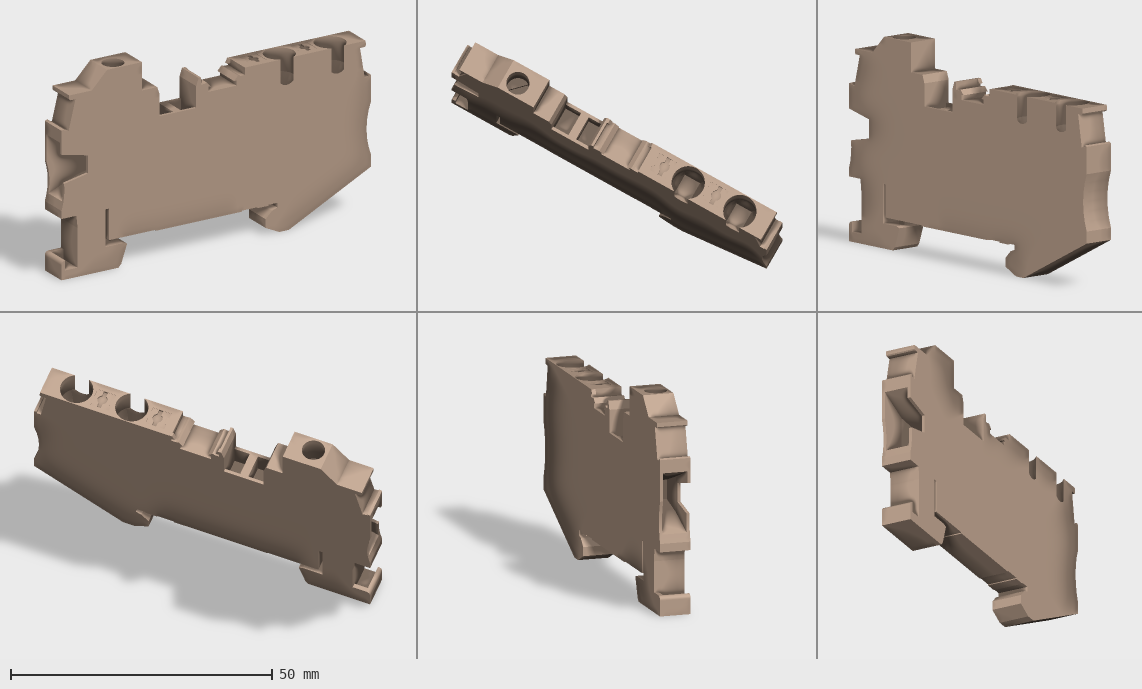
import cadquery as cq
import math

thickness = 6.2
length = 69.3
height = 41.2

deck_z = 35.4
ledge_z = 37.7
rail_seat_z = 6.1
rail_pad_drop = 0.2

tower_back_y = 18.0
tower_front_y = 10.2
tower_foot_y = 6.8
ledge_front_y = 1.7
ledge_thickness = 1.05
ledge_chamfer = 0.2

front_notch_top_y = 3.1
front_notch_bottom_y = 1.6
front_notch_z = 30.4
front_shoulder_z = 30.8

deck_rear_y = 68.05
deck_lip_y = 68.1
deck_lip_chamfer_z = 34.45
rear_notch_top_y = 66.8
rear_notch_top_z = 34.15
rear_notch_bottom_y = 67.85
rear_notch_bottom_z = 27.85
rear_shoulder_z = 28.15

rim_width = 0.55
rim_rise = 0.2

front_hollow = {"top": 22.6, "bottom": 14.3, "depth": 0.66}
rear_hollow = {"top": 22.8, "bottom": 11.65, "depth": 1.05}

recess_top_z = 12.6
recess_top_y = 3.3
recess_back_y = 3.6
recess_taper_z = 10.05
foot_top_z = 3.95
foot_round = 0.8
foot_pocket_x = 0.9
foot_pocket_depth = 2.1
foot_back_y = 12.75
foot_bevel = (13.4, 0.7)
foot_tip = (14.7, 4.6)
foot_tip_top_y = 13.85
foot_grip_z = 4.85
slit_front_y = 9.85
slit_back_y = 10.7
slit_chamfer = 0.2
web_front_y = 12.2
web_back_y = 13.8
web_width = 2.1

rail_pads = [(21.15, 40.4), (43.9, 46.3)]

hook_throat_y = 48.3
hook_lip_z = 5.1
hook_shoulder = (47.1, 4.7)
hook_tip_y = 45.7
hook_tip_top_z = 3.25
hook_tip_bottom_z = 1.45
hook_bottom_front_y = 48.7
hook_bottom_back_y = 50.9
rear_corner_z = 9.3

label_front_y = 31.2
label_back_y = 41.0
label_step_z = 33.9
label_floor_z = 32.1
label_floor_front_y = 32.85
label_floor_back_y = 39.15
label_edge_z = 33.1
label_nose = 0.55
label_bevel_run = 0.9
label_bevel_z = 34.1
label_rise = 0.55
tab_width = 0.8
tab_bottom_z = 34.5
tab_top_reach = 0.2
tab_reach = 0.7

bridge_front_y = 22.0
bridge_back_y = 30.15
bridge_floor_z = 29.3
bridge_flare = 0.55
bridge_flare_z = 33.8
bridge_pockets = [(bridge_front_y, 25.35), (27.0, bridge_back_y)]
bridge_pocket_depth = 4.15

wall_left_x = 0.6
wall_right_x = 5.55

screw_x = 3.5
screw_y = 13.1
screw_radius = 2.2
screw_depth = 6.25
screw_slot_width = 0.75
screw_slot_depth = 0.7
screw_slot_angle = -45

entry_pitch = 11.35
entry_x = 3.3
entry_y = 61.8
entry_radius = 3.2
entry_straight = 4.85
entry_taper = 2.8
entry_floor_x = (1.05, 4.9)
entry_floor_y = (59.8, 63.1)
button_size = 3.8
button_x = 2.9
button_y = 56.1
button_sink = 0.1
button_key_width = 1.5
button_key_depth = 0.4
button_slot_y = 56.35
button_slot_width = 0.8
button_eye_radius = 1.0
button_slot_depth = 0.35

mouth_z = (15.8, 28.15)
socket_x = (1.9, 5.1)
socket_z = (20.25, 24.05)
mouth_depth = 6.9
funnel_depth = 4.15
taper_share = mouth_depth / (mouth_depth + funnel_depth)
throat_z = tuple(outer + taper_share * (inner - outer) for outer, inner in zip(mouth_z, socket_z))
window_outer_z = (19.6, 25.85)
window_inner_z = (20.8, 24.5)
window_depth = 5.9


def box(x_range, y_range, z_range):
    """Axis-aligned box between pairs of limits."""
    sizes = [high - low for low, high in (x_range, y_range, z_range)]
    corner = (x_range[0], y_range[0], z_range[0])
    return cq.Workplane("XY").box(*sizes, centered=False).translate(corner)


def side_prism(points, x_start, x_end):
    """Closed outline in the YZ plane, extruded along X."""
    sketch = cq.Workplane("YZ", origin=(x_start, 0, 0)).polyline(points).close()
    return sketch.extrude(x_end - x_start)


def body():
    """Full-width housing, outlined once around in the YZ plane."""
    ledge_bottom_z = ledge_z - ledge_thickness
    tower_and_front = [
        (tower_back_y, deck_z),
        (tower_back_y, height),
        (tower_front_y, height),
        (tower_foot_y, ledge_z),
        (ledge_front_y, ledge_z),
        (ledge_front_y, ledge_bottom_z + ledge_chamfer),
        (ledge_front_y + ledge_chamfer, ledge_bottom_z),
        (front_notch_top_y, ledge_bottom_z),
        (front_notch_bottom_y, front_notch_z),
        (rim_width, front_notch_z + rim_rise),
        (rim_width, front_shoulder_z + rim_rise),
        (0, front_shoulder_z),
        (0, front_hollow["top"]),
    ]
    front_foot = [
        (0, recess_top_z),
        (recess_top_y, recess_top_z),
        (recess_back_y, recess_taper_z),
        (recess_back_y, foot_top_z),
        (foot_round, foot_top_z),
    ]
    underside = [
        (0, 0),
        (foot_back_y, 0),
        foot_bevel,
        foot_tip,
        (foot_tip_top_y, foot_grip_z),
        (slit_front_y, foot_grip_z),
        (slit_front_y, recess_top_z),
        (slit_back_y - slit_chamfer, recess_top_z),
        (slit_back_y, recess_top_z - slit_chamfer),
        (slit_back_y, rail_seat_z),
        (hook_throat_y, rail_seat_z),
        (hook_throat_y, hook_lip_z),
        hook_shoulder,
        (hook_tip_y, hook_tip_top_z),
        (hook_tip_y, hook_tip_bottom_z),
        (hook_bottom_front_y, 0),
        (hook_bottom_back_y, 0),
        (length, rear_corner_z),
        (length, rear_hollow["bottom"]),
    ]
    rear_and_deck = [
        (length, rear_shoulder_z),
        (length - rim_width, rear_shoulder_z + rim_rise),
        (length - rim_width, rear_notch_bottom_z),
        (rear_notch_bottom_y, rear_notch_bottom_z),
        (rear_notch_top_y, rear_notch_top_z),
        (deck_lip_y - ledge_chamfer, rear_notch_top_z),
        (deck_lip_y, deck_lip_chamfer_z),
        (deck_rear_y, deck_z),
    ]
    front_mid_z = (front_hollow["top"] + front_hollow["bottom"]) / 2
    rear_mid_z = (rear_hollow["top"] + rear_hollow["bottom"]) / 2
    round_mid = foot_round * (1 - math.sqrt(0.5))
    outline = cq.Workplane("YZ").polyline(tower_and_front)
    outline = outline.threePointArc((front_hollow["depth"], front_mid_z), (0, front_hollow["bottom"]))
    for point in front_foot:
        outline = outline.lineTo(*point)
    outline = outline.threePointArc((round_mid, foot_top_z - round_mid), (0, foot_top_z - foot_round))
    for point in underside:
        outline = outline.lineTo(*point)
    outline = outline.threePointArc((length - rear_hollow["depth"], rear_mid_z), (length, rear_hollow["top"]))
    for point in rear_and_deck:
        outline = outline.lineTo(*point)
    return outline.close().extrude(thickness)


def foot_pocket():
    """Pocket in the front foot between its rounded lip and the back of the recess."""
    return box(
        (foot_pocket_x, thickness),
        (foot_round, recess_back_y),
        (foot_top_z - foot_pocket_depth, foot_top_z),
    )


def label_trough():
    """Stepped trough whose beveled steps end in sharp noses above the floor."""
    back_nose_y = label_floor_back_y - label_nose
    front_nose_y = label_floor_front_y + label_nose
    points = [
        (label_back_y, deck_z),
        (label_back_y, label_step_z),
        (back_nose_y + label_bevel_run + label_rise, label_step_z),
        (back_nose_y + label_bevel_run, label_bevel_z),
        (back_nose_y, label_edge_z),
        (label_floor_back_y, label_edge_z),
        (label_floor_back_y, label_floor_z),
        (label_floor_front_y, label_floor_z),
        (label_floor_front_y, label_edge_z),
        (front_nose_y, label_edge_z),
        (front_nose_y - label_bevel_run, label_bevel_z),
        (front_nose_y - label_bevel_run - label_rise, label_step_z),
        (label_front_y, label_step_z),
        (label_front_y, deck_z),
    ]
    return side_prism(points, 0, thickness)


def label_tab(wall_y, direction):
    """Retaining tab that overhangs the label trough at the left side only."""
    points = [
        (wall_y, tab_bottom_z),
        (wall_y + direction * tab_reach, tab_bottom_z),
        (wall_y + direction * tab_top_reach, deck_z),
        (wall_y, deck_z),
    ]
    return side_prism(points, 0, tab_width)


def bridge_trough():
    """Flared trough across the deck plus two pockets in its floor."""
    points = [
        (bridge_front_y - bridge_flare, deck_z),
        (bridge_front_y, bridge_flare_z),
        (bridge_front_y, bridge_floor_z),
        (bridge_back_y, bridge_floor_z),
        (bridge_back_y, bridge_flare_z),
        (bridge_back_y + bridge_flare, deck_z),
    ]
    trough = side_prism(points, 0, thickness)
    pocket_z = (bridge_floor_z - bridge_pocket_depth, bridge_floor_z)
    for pocket_y in bridge_pockets:
        trough = trough.union(box((wall_left_x, wall_right_x), pocket_y, pocket_z))
    return trough


def screw_hole():
    """Round well with the slot of the screw head at its bottom."""
    head = cq.Workplane("XY", origin=(screw_x, screw_y, height - screw_depth))
    well = head.circle(screw_radius).extrude(screw_depth)
    slot = head.transformed(rotate=(0, 0, screw_slot_angle)).rect(2 * screw_radius, screw_slot_width)
    slot = slot.extrude(-screw_slot_depth)
    round_limit = head.circle(screw_radius).extrude(-screw_slot_depth)
    return well.union(slot.intersect(round_limit))


def deck_entry(shift_y):
    """Round wire entry that breaks through the right side, then tapers to a rectangular floor."""
    center_y = entry_y + shift_y
    floor_width = entry_floor_x[1] - entry_floor_x[0]
    floor_length = entry_floor_y[1] - entry_floor_y[0]
    floor_center_x = sum(entry_floor_x) / 2
    floor_center_y = sum(entry_floor_y) / 2 + shift_y
    well = cq.Workplane("XY", origin=(entry_x, center_y, deck_z - entry_straight))
    taper = (
        well.circle(entry_radius)
        .workplane(offset=-entry_taper)
        .center(floor_center_x - entry_x, floor_center_y - center_y)
        .rect(floor_width, floor_length)
        .loft()
    )
    return well.circle(entry_radius).extrude(entry_straight).union(taper)


def button(shift_y):
    """Slightly sunk square button with a keyed edge and a round-eyed driver slot."""
    half = button_size / 2
    center_y = button_y + shift_y
    left_x = button_x - half
    right_x = button_x + half
    front_y = center_y - half
    sunk_z = deck_z - button_sink
    slot_y = button_slot_y + shift_y
    face = box((left_x, right_x), (front_y, center_y + half), (sunk_z, deck_z))
    key_half = button_key_width / 2
    key_x = (button_x - key_half, button_x + key_half)
    key = box(key_x, (front_y, front_y + button_key_depth), (sunk_z, deck_z))
    top = cq.Workplane("XY", origin=(button_x, slot_y, sunk_z))
    slot = top.rect(button_size, button_slot_width).extrude(-button_slot_depth)
    eye = top.circle(button_eye_radius).extrude(-button_slot_depth)
    return face.cut(key).union(slot).union(eye)


def wedge(x_range, outer_z, inner_z, depth):
    """Slot entering from the front end, narrowing in height with depth."""
    points = [(0, outer_z[0]), (depth, inner_z[0]), (depth, inner_z[1]), (0, outer_z[1])]
    return side_prism(points, *x_range)


def front_entry():
    """Wire entry in the front end: wedge mouth, funnel to the socket, window in the right wall."""
    mouth = wedge((wall_left_x, wall_right_x), mouth_z, throat_z, mouth_depth)
    throat_width = wall_right_x - wall_left_x
    throat_x = (wall_left_x + wall_right_x) / 2
    funnel = (
        cq.Workplane("XZ", origin=(throat_x, mouth_depth, sum(throat_z) / 2))
        .rect(throat_width, throat_z[1] - throat_z[0])
        .workplane(offset=-funnel_depth)
        .center(sum(socket_x) / 2 - throat_x, (sum(socket_z) - sum(throat_z)) / 2)
        .rect(socket_x[1] - socket_x[0], socket_z[1] - socket_z[0])
        .loft()
    )
    window = wedge((wall_right_x, thickness), window_outer_z, window_inner_z, window_depth)
    return mouth.union(funnel).union(window)


result = body().cut(foot_pocket()).cut(label_trough()).cut(bridge_trough())
result = result.union(label_tab(label_back_y, -1)).union(label_tab(label_front_y, 1))

web_x = ((thickness - web_width) / 2, (thickness + web_width) / 2)
result = result.union(box(web_x, (web_front_y, web_back_y), (foot_grip_z, rail_seat_z)))
for pad_y in rail_pads:
    result = result.union(box((0, thickness), pad_y, (rail_seat_z - rail_pad_drop, rail_seat_z)))

for shift in (0, -entry_pitch):
    result = result.cut(deck_entry(shift)).cut(button(shift))
result = result.cut(screw_hole()).cut(front_entry())